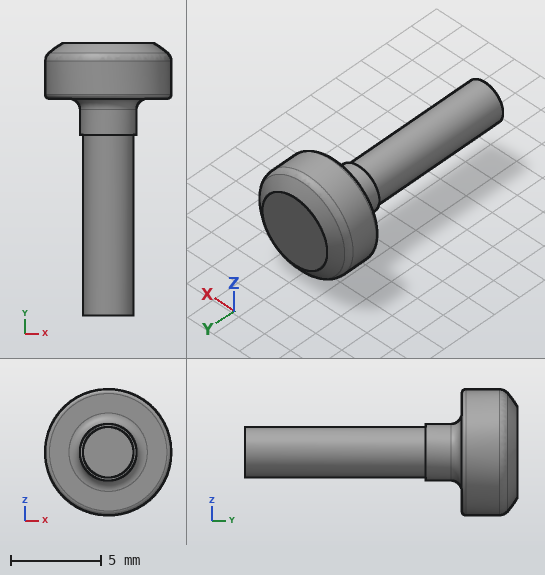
import cadquery as cq
import math

head_diameter = 7.0
head_thickness = 3.1
collar_diameter = 3.14
collar_length = 2.0
shank_diameter = 2.8
shank_length = 10.0

crown_face_diameter = 5.0
crown_sphere_radius = 5.0
crown_round_radius = 0.6
head_rim_radius = 0.25
neck_fillet_radius = 0.6

head_underside_y = 0.0
head_top_y = head_underside_y + head_thickness
collar_end_y = head_underside_y - collar_length


def cylinder_toward_minus_y(diameter, length, start_y):
    """Solid cylinder on the Y axis running from start_y toward -Y."""
    return (
        cq.Workplane("XZ", origin=(0, start_y, 0))
        .circle(diameter / 2)
        .extrude(length)
    )


def sphere_height(radius_from_axis):
    """Height of the crown sphere above its centre at a given distance from the axis."""
    return math.sqrt(crown_sphere_radius**2 - radius_from_axis**2)


def make_head():
    """Round head with a flat-topped spherical crown, blended into the side, and a rounded lower rim."""
    head_radius = head_diameter / 2
    face_radius = crown_face_diameter / 2
    sphere_center_y = head_top_y - sphere_height(face_radius)
    crown_base_y = sphere_center_y + sphere_height(head_radius)
    head = (
        cq.Workplane("XY")
        .moveTo(0, head_underside_y)
        .lineTo(head_radius, head_underside_y)
        .lineTo(head_radius, crown_base_y)
        .radiusArc((face_radius, head_top_y), -crown_sphere_radius)
        .lineTo(0, head_top_y)
        .close()
        .revolve(360, (0, 0, 0), (0, 1, 0))
    )
    crown_base_edge = cq.selectors.NearestToPointSelector((0, crown_base_y, 0))
    head = head.edges("%CIRCLE").edges(crown_base_edge).fillet(crown_round_radius)
    return head.faces("<Y").edges().fillet(head_rim_radius)


def make_neck_flare():
    """Concave ring that blends the collar into the underside of the head."""
    collar_radius = collar_diameter / 2
    flare_radius = collar_radius + neck_fillet_radius
    flare_end_y = head_underside_y - neck_fillet_radius
    return (
        cq.Workplane("XY")
        .moveTo(0, head_underside_y)
        .lineTo(flare_radius, head_underside_y)
        .radiusArc((collar_radius, flare_end_y), -neck_fillet_radius)
        .lineTo(0, flare_end_y)
        .close()
        .revolve(360, (0, 0, 0), (0, 1, 0))
    )


head = make_head()
neck_flare = make_neck_flare()
collar = cylinder_toward_minus_y(collar_diameter, collar_length, head_underside_y)
shank = cylinder_toward_minus_y(shank_diameter, shank_length, collar_end_y)

result = head.union(collar).union(neck_flare).union(shank)